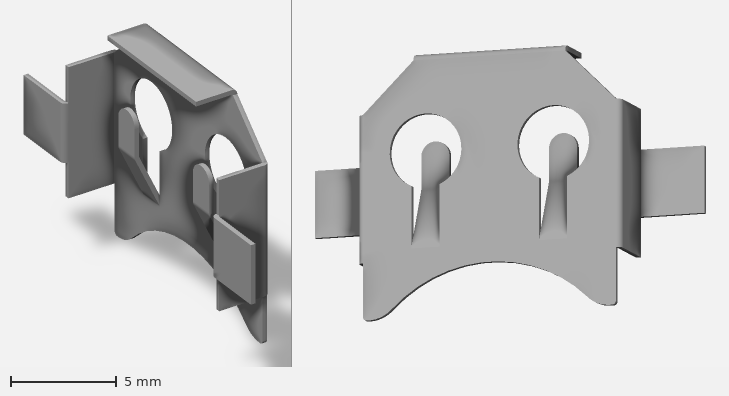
import cadquery as cq
import math

thickness = 0.25
fold_inner = 0.04
fold_outer = fold_inner + thickness
total_width = 19.54
total_depth = 3.17
total_height = 12.7

plate_half_width = 6.35
top_z = total_height / 2
bottom_z = -top_z
arch_top_z = -3.89
arch_radius = 7.03
lobe_flat_x = 6.05
lobe_corner_radius = 0.2

top_flange_half_width = 3.81
top_flange_depth = 2.35
side_flange_height = 7.15
foot_height = 3.25

hole_x = 3.2
hole_z = 1.66
hole_radius = 1.8
tongue_width = 1.4
tongue_offset = 1.4
tongue_root_z = -3.0
tongue_bend_end_z = 0.1
tongue_bend_inner = 0.2
tongue_bend_outer = tongue_bend_inner + thickness
tongue_root_overlap = 0.2


def make_plate():
    """Flat plate with sloped shoulders and an arched lower edge between two lobes."""
    arch_center_z = arch_top_z - arch_radius
    rise = bottom_z - arch_center_z
    lobe_radius = (lobe_flat_x**2 + rise**2 - arch_radius**2) / (2 * (arch_radius - rise))
    share = arch_radius / (arch_radius + lobe_radius)
    join_x = share * lobe_flat_x
    join_z = arch_center_z + share * (rise + lobe_radius)
    shoulder_z = side_flange_height / 2
    fold_z = top_z - fold_outer
    return (
        cq.Workplane("XZ")
        .moveTo(-lobe_flat_x, bottom_z)
        .radiusArc((-join_x, join_z), -lobe_radius)
        .threePointArc((0, arch_top_z), (join_x, join_z))
        .radiusArc((lobe_flat_x, bottom_z), -lobe_radius)
        .lineTo(plate_half_width, bottom_z)
        .lineTo(plate_half_width, shoulder_z)
        .lineTo(top_flange_half_width, fold_z)
        .lineTo(-top_flange_half_width, fold_z)
        .lineTo(-plate_half_width, shoulder_z)
        .lineTo(-plate_half_width, bottom_z)
        .close()
        .extrude(thickness)
        .edges("|Y and (<X or >X)")
        .edges("<Z")
        .fillet(lobe_corner_radius)
    )


def make_top_flange():
    """Flange folded forward from the top edge of the plate."""
    under_z = top_z - thickness
    return (
        cq.Workplane("YZ")
        .moveTo(-thickness, top_z - fold_outer)
        .lineTo(0, top_z - fold_outer)
        .radiusArc((-fold_outer, top_z), -fold_outer)
        .lineTo(-top_flange_depth, top_z)
        .lineTo(-top_flange_depth, under_z)
        .lineTo(-fold_outer, under_z)
        .radiusArc((-thickness, top_z - fold_outer), fold_inner)
        .close()
        .extrude(top_flange_half_width, both=True)
    )


def make_right_side():
    """Side flange folded forward from the plate, ending in an outward foot."""
    inner_x = plate_half_width
    outer_x = inner_x + thickness
    plate_fold_x = outer_x - fold_outer
    foot_fold_x = inner_x + fold_outer
    foot_fold_y = fold_outer - total_depth
    foot_back_y = thickness - total_depth
    flange = (
        cq.Workplane("XY")
        .moveTo(inner_x, foot_fold_y)
        .lineTo(inner_x, -fold_outer)
        .radiusArc((plate_fold_x, -thickness), -fold_inner)
        .lineTo(plate_fold_x, 0)
        .radiusArc((outer_x, -fold_outer), fold_outer)
        .lineTo(outer_x, foot_fold_y)
        .close()
        .extrude(side_flange_height / 2, both=True)
    )
    foot = (
        cq.Workplane("XY")
        .moveTo(inner_x, foot_fold_y)
        .radiusArc((foot_fold_x, -total_depth), -fold_outer)
        .lineTo(total_width / 2, -total_depth)
        .lineTo(total_width / 2, foot_back_y)
        .lineTo(foot_fold_x, foot_back_y)
        .radiusArc((outer_x, foot_fold_y), fold_inner)
        .close()
        .extrude(foot_height / 2, both=True)
    )
    return flange.union(foot)


def tongue_outline(x, low_z):
    """Round-ended strip centred on x, as seen square to the plate."""
    half = tongue_width / 2
    return (
        cq.Workplane("XZ")
        .moveTo(x - half, low_z)
        .lineTo(x - half, hole_z)
        .threePointArc((x, hole_z + half), (x + half, hole_z))
        .lineTo(x + half, low_z)
        .close()
        .extrude(total_depth)
    )


def make_tongue(x):
    """Strip rising at a slant out of the plate, then bent upright again."""
    low_z = tongue_root_z - tongue_root_overlap
    tip_z = hole_z + tongue_width
    inner, outer = tongue_bend_inner, tongue_bend_outer

    bend_sum = inner + outer
    height = tongue_bend_end_z - tongue_root_z
    sideways = bend_sum - tongue_offset
    straight = math.sqrt(height**2 + sideways**2 - bend_sum**2)
    lean = math.atan2(bend_sum, straight) - math.atan2(sideways, height)

    root_y = -thickness - inner
    upper_y = -tongue_offset + inner

    def root_point(radius):
        return root_y + radius * math.cos(lean), tongue_root_z + radius * math.sin(lean)

    def upper_point(radius):
        return upper_y - radius * math.cos(lean), tongue_bend_end_z - radius * math.sin(lean)

    front_y = -tongue_offset - thickness
    strip = (
        cq.Workplane("YZ", origin=(x, 0, 0))
        .moveTo(-thickness, low_z)
        .lineTo(-thickness, tongue_root_z)
        .radiusArc(root_point(inner), -inner)
        .lineTo(*upper_point(outer))
        .radiusArc((front_y, tongue_bend_end_z), outer)
        .lineTo(front_y, tip_z)
        .lineTo(-tongue_offset, tip_z)
        .lineTo(-tongue_offset, tongue_bend_end_z)
        .radiusArc(upper_point(inner), -inner)
        .lineTo(*root_point(outer))
        .radiusArc((0, tongue_root_z), outer)
        .lineTo(0, low_z)
        .close()
        .extrude(tongue_width / 2, both=True)
    )
    return strip.intersect(tongue_outline(x, low_z))


right_side = make_right_side()
result = make_plate().union(make_top_flange()).union(right_side).union(right_side.mirror("YZ"))

for x in (-hole_x, hole_x):
    hole = cq.Workplane("XZ").center(x, hole_z).circle(hole_radius).extrude(thickness)
    result = result.cut(hole).cut(tongue_outline(x, tongue_root_z)).union(make_tongue(x))